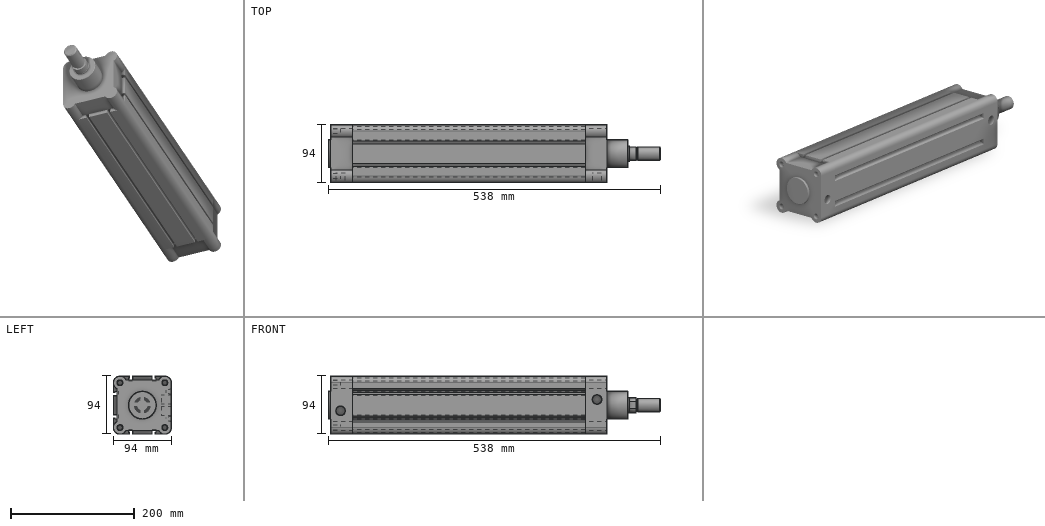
import cadquery as cq
import math


REAR_CAP_START = 4.0
BARREL_START = 39.5
FRONT_CAP_START = 417.0
FRONT_CAP_END = 451.5
BOSS_END = 485.5
FLATS_START = 488.0
FLATS_END = 498.5
THREAD_START = 500.0
ROD_END = 538.0

SIDE = 94.0
CORNER_RADIUS = 11.0
HALF_SIDE = SIDE / 2
CORNER_CENTRE = HALF_SIDE - CORNER_RADIUS

BOSS_DIAMETER = 45.0
BOSS_CHAMFER = 0.5
CAP_RECESS = 6.0
SCREW_HOLE_DIAMETER = 8.0
SCREW_HOLE_CHAMFER = 0.8
SCREW_HOLE_DEPTH = 16.0
PORT_DIAMETER = 14.5
PORT_CHAMFER = 0.5
PORT_DEPTH = 16.0
PORT_OFFSET_Z = 9.0
PORT_INSET = 16.0

SLOT_INNER = 15.5
SLOT_OUTER = 20.5
SLOT_DEPTH = 8.0
SLOT_LIP = 2.5
SLOT_UNDERCUT = 1.5
GROOVE_INNER = 17.0
GROOVE_OUTER = 27.0
GROOVE_DEPTH = 9.0
GROOVE_TAPER = 3.0

COLLAR_DIAMETER = 25.5
FLATS_DIAMETER = 25.0
FLATS_WIDTH = 22.0
NECK_DIAMETER = 19.0
THREAD_DIAMETER = 22.0
THREAD_CHAMFER = 1.5


def section_plane(x):
    """Plane across the axis at x; local x is +Y, local y is +Z."""
    return cq.Workplane("YZ", origin=(x, 0, 0))


def square_bar(start, end):
    bar = section_plane(start).rect(SIDE, SIDE).extrude(end - start)
    return bar.edges("|X").fillet(CORNER_RADIUS)


def cylinder(start, end, diameter):
    return section_plane(start).circle(diameter / 2).extrude(end - start)


def cap_body(start, end):
    """Square cap recessed on top, bottom and +Y, leaving a round lobe at each corner."""
    floor = HALF_SIDE - CAP_RECESS
    lobe_reach = math.sqrt(CORNER_RADIUS**2 - (floor - CORNER_CENTRE) ** 2)
    lobe_edge = CORNER_CENTRE - lobe_reach
    diagonal = CORNER_CENTRE + CORNER_RADIUS * math.sqrt(0.5)
    outline = (
        section_plane(start)
        .moveTo(-HALF_SIDE, CORNER_CENTRE)
        .threePointArc((-CORNER_CENTRE, HALF_SIDE), (-lobe_edge, floor))
        .lineTo(lobe_edge, floor)
        .threePointArc((diagonal, diagonal), (floor, lobe_edge))
        .lineTo(floor, -lobe_edge)
        .threePointArc((diagonal, -diagonal), (lobe_edge, -floor))
        .lineTo(-lobe_edge, -floor)
        .threePointArc((-CORNER_CENTRE, -HALF_SIDE), (-HALF_SIDE, -CORNER_CENTRE))
        .close()
    )
    return outline.extrude(end - start)


def countersunk_hole(diameter, depth, chamfer):
    """Cutter for a blind hole along +X, open at X = 0, with a chamfered mouth."""
    radius = diameter / 2
    half_profile = [
        (0, 0),
        (0, radius + chamfer),
        (chamfer, radius),
        (depth, radius),
        (depth, 0),
    ]
    return cq.Workplane("XY").polyline(half_profile).close().revolve(360, (0, 0), (1, 0))


def cut_screw_holes(cap):
    """Screw holes at the four corners of the rear cap's outer face."""
    hole = countersunk_hole(SCREW_HOLE_DIAMETER, SCREW_HOLE_DEPTH, SCREW_HOLE_CHAMFER)
    for y in (-CORNER_CENTRE, CORNER_CENTRE):
        for z in (-CORNER_CENTRE, CORNER_CENTRE):
            cap = cap.cut(hole.translate((REAR_CAP_START, y, z)))
    return cap


def port_hole(x, z):
    """Air port entering the -Y side."""
    hole = countersunk_hole(PORT_DIAMETER, PORT_DEPTH, PORT_CHAMFER)
    return hole.rotate((0, 0, 0), (0, 0, 1), 90).translate((x, -HALF_SIDE, z))


def make_rear_cap():
    cap = cut_screw_holes(cap_body(REAR_CAP_START, BARREL_START))
    spigot = cylinder(0, REAR_CAP_START, BOSS_DIAMETER).faces("<X").chamfer(BOSS_CHAMFER)
    return cap.union(spigot).cut(port_hole(REAR_CAP_START + PORT_INSET, -PORT_OFFSET_Z))


def make_front_cap():
    cap = cap_body(FRONT_CAP_START, FRONT_CAP_END)
    boss = cylinder(FRONT_CAP_END, BOSS_END, BOSS_DIAMETER).faces(">X").chamfer(BOSS_CHAMFER)
    return cap.union(boss).cut(port_hole(FRONT_CAP_END - PORT_INSET, PORT_OFFSET_Z))


def barrel_cutter(profile):
    return section_plane(BARREL_START).polyline(profile).close().extrude(FRONT_CAP_START - BARREL_START)


def undercut_slot():
    """Slot in the top side at +Y, widened towards the corner below a lip."""
    floor = HALF_SIDE - SLOT_DEPTH
    lip_bottom = HALF_SIDE - SLOT_LIP
    return barrel_cutter([
        (SLOT_INNER, HALF_SIDE),
        (SLOT_OUTER, HALF_SIDE),
        (SLOT_OUTER, lip_bottom),
        (SLOT_OUTER + SLOT_UNDERCUT, lip_bottom),
        (SLOT_OUTER + SLOT_UNDERCUT, floor),
        (SLOT_INNER, floor),
    ])


def tapered_groove():
    """Groove in the -Y side at +Z, narrowing towards its floor."""
    floor = -HALF_SIDE + GROOVE_DEPTH
    return barrel_cutter([
        (-HALF_SIDE, GROOVE_INNER),
        (-HALF_SIDE, GROOVE_OUTER),
        (floor, GROOVE_OUTER - GROOVE_TAPER),
        (floor, GROOVE_INNER + GROOVE_TAPER),
    ])


def make_barrel():
    barrel = square_bar(BARREL_START, FRONT_CAP_START)
    slot = undercut_slot()
    slot_pair = slot.union(slot.mirror("XZ"))
    for angle in (0, -90, 180):
        barrel = barrel.cut(slot_pair.rotate((0, 0, 0), (1, 0, 0), angle))
    groove = tapered_groove()
    return barrel.cut(groove).cut(groove.mirror("XY"))


def make_piston_rod():
    """Exposed rod: round collar, wrench flats facing +Y and -Y, neck and threaded end."""
    collar = cylinder(BOSS_END, FLATS_START, COLLAR_DIAMETER)
    flats_slab = section_plane(FLATS_START).rect(FLATS_WIDTH, FLATS_DIAMETER).extrude(FLATS_END - FLATS_START)
    flats = cylinder(FLATS_START, FLATS_END, FLATS_DIAMETER).intersect(flats_slab)
    neck = cylinder(FLATS_END, THREAD_START, NECK_DIAMETER)
    thread = cylinder(THREAD_START, ROD_END, THREAD_DIAMETER).faces("<X or >X").chamfer(THREAD_CHAMFER)
    return collar.union(flats).union(neck).union(thread)


rear_cap = make_rear_cap()
barrel = make_barrel()
front_cap = make_front_cap()
piston_rod = make_piston_rod()

result = cq.Compound.makeCompound([
    rear_cap.val(),
    barrel.val(),
    front_cap.val(),
    piston_rod.val(),
])